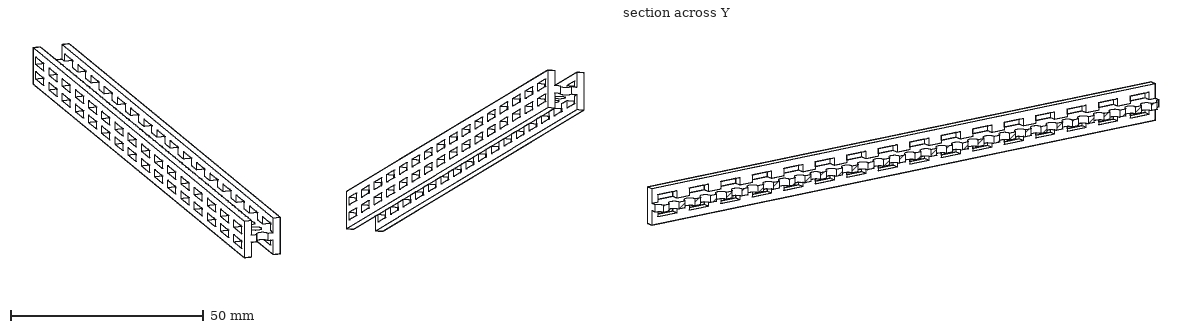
import cadquery as cq

length = 160.0
slot_columns = 16
slot_pitch = length / slot_columns
side = slot_pitch

wall = side / 5

slot_length = 3 * wall
slot_height = wall
slot_row_pitch = wall + slot_height

hole_diameter = 1.5 * wall
hole_pitch = slot_pitch / 2
hole_count = 2 * slot_columns + 1


def h_beam():
    """Two upright flanges joined by a horizontal web at mid-height."""
    flange_offset = (side - wall) / 2
    beam = cq.Workplane("XY").box(length, side - wall, wall)
    for y in (-flange_offset, flange_offset):
        flange = cq.Workplane("XY").box(length, wall, side)
        beam = beam.union(flange.translate((0, y, 0)))
    return beam


def flange_slots():
    """Rows of slots directly above and below the web, long enough to cut both flanges."""
    return (
        cq.Workplane("XZ")
        .rarray(slot_pitch, slot_row_pitch, slot_columns, 2)
        .rect(slot_length, slot_height)
        .extrude(side, both=True)
    )


def web_holes():
    """A row of holes along the web; the first and last are centred on the ends."""
    return (
        cq.Workplane("XY")
        .rarray(hole_pitch, hole_pitch, hole_count, 1)
        .circle(hole_diameter / 2)
        .extrude(wall, both=True)
    )


result = h_beam().cut(flange_slots()).cut(web_holes())